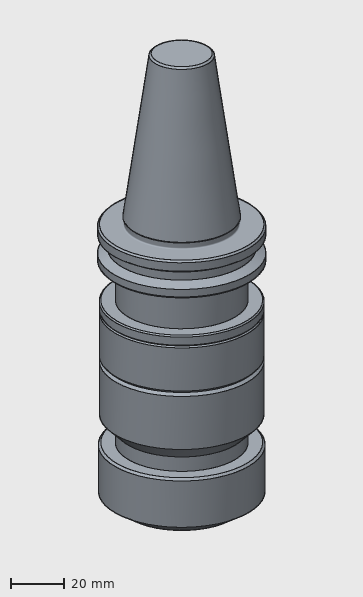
import cadquery as cq
import math


TOTAL_HEIGHT = 188.4
GAUGE_HEIGHT = 120.0
FLANGE_TOP = 116.8
FLANGE_BOTTOM = 101.0
BODY_TOP = 85.2
BODY_CONE_TOP = 37.5
NUT_TOP = 25.5

GAUGE_RADIUS = 22.2
RELIEF_RADIUS = 21.7
FLANGE_RADIUS = 63.5 / 2
FLANGE_GROOVE_RADIUS = 28.0
NECK_RADIUS = 25.0
BODY_RADIUS = 31.0
NUT_RADIUS = 31.5
NUT_TIP_RADIUS = 23.7

TAPER_RATIO = 7 / 24
SHANK_CHAMFER = 0.8
RELIEF_STEP_HEIGHT = 0.5
RELIEF_FILLET = 0.5

FLANGE_TOP_CHAMFER = 0.8
FLANGE_BOTTOM_CHAMFER = 0.8
FLANGE_GROOVE_CENTRE = 108.7
FLANGE_GROOVE_FLOOR = 3.4
FLANGE_GROOVE_FLANK = 30.0
NECK_FILLET = 1.1

BODY_CHAMFER = 0.5
BODY_CONE_ANGLE = 45.0
BODY_GROOVES = [(80.6, 0.5), (60.9, 1.1)]

NUT_TOP_CHAMFER = 1.0
NUT_CONE_HEIGHT = 5.0

EDGE_MARGIN = 0.2


def cylinder(radius, bottom, top):
    """Upright cylinder on the Z axis between two heights."""
    return cq.Workplane("XY").workplane(offset=bottom).circle(radius).extrude(top - bottom)


def revolved(points):
    """Solid of revolution about Z from (radius, height) points."""
    return cq.Workplane("XZ").polyline(points).close().revolve(360, (0, 0), (0, 1))


def ring_groove(outer_radius, depth, centre, floor_width, flank_rise):
    """Cutter for a groove with sloped flanks; flank_rise is the flank height from floor to outer_radius."""
    floor_radius = outer_radius - depth
    clear_radius = outer_radius + depth
    half_floor = floor_width / 2
    half_mouth = half_floor + 2 * flank_rise
    points = [(clear_radius, centre - half_mouth), (clear_radius, centre + half_mouth)]
    points.append((floor_radius, centre + half_floor))
    if floor_width > 0:
        points.append((floor_radius, centre - half_floor))
    return revolved(points)


def fillet_ring(solid, radius, height, fillet_radius):
    """Fillet the circular corner of the given radius at the given height."""
    reach = radius + EDGE_MARGIN
    ring = cq.selectors.BoxSelector(
        (-reach, -reach, height - EDGE_MARGIN),
        (reach, reach, height + EDGE_MARGIN),
        boundingbox=True,
    )
    return solid.edges(ring).fillet(fillet_radius)


def make_shank():
    """Taper with a chamfered small end and a short relief where it meets the flange."""
    tip_radius = GAUGE_RADIUS - (TOTAL_HEIGHT - GAUGE_HEIGHT) * TAPER_RATIO / 2
    relief_top = GAUGE_HEIGHT - RELIEF_STEP_HEIGHT
    taper = revolved([
        (0, FLANGE_TOP),
        (RELIEF_RADIUS, FLANGE_TOP),
        (RELIEF_RADIUS, relief_top),
        (GAUGE_RADIUS, GAUGE_HEIGHT),
        (tip_radius, TOTAL_HEIGHT),
        (0, TOTAL_HEIGHT),
    ])
    return taper.faces(">Z").edges().chamfer(SHANK_CHAMFER)


def make_flange():
    """Chamfered disc with a trapezoidal gripper groove."""
    flange = cylinder(FLANGE_RADIUS, FLANGE_BOTTOM, FLANGE_TOP)
    flange = flange.faces(">Z").edges().chamfer(FLANGE_TOP_CHAMFER)
    flange = flange.faces("<Z").edges().chamfer(FLANGE_BOTTOM_CHAMFER)
    depth = FLANGE_RADIUS - FLANGE_GROOVE_RADIUS
    flank_rise = depth * math.tan(math.radians(FLANGE_GROOVE_FLANK))
    groove = ring_groove(FLANGE_RADIUS, depth, FLANGE_GROOVE_CENTRE, FLANGE_GROOVE_FLOOR, flank_rise)
    return flange.cut(groove)


def make_body():
    """Large cylinder with two V-grooves, narrowing to the lower neck in a cone."""
    cone_height = (BODY_RADIUS - NECK_RADIUS) / math.tan(math.radians(BODY_CONE_ANGLE))
    body = revolved([
        (0, NUT_TOP),
        (NECK_RADIUS, NUT_TOP),
        (NECK_RADIUS, BODY_CONE_TOP - cone_height),
        (BODY_RADIUS, BODY_CONE_TOP),
        (BODY_RADIUS, BODY_TOP),
        (0, BODY_TOP),
    ])
    body = body.faces(">Z").edges().chamfer(BODY_CHAMFER)
    for centre, depth in BODY_GROOVES:
        body = body.cut(ring_groove(BODY_RADIUS, depth, centre, 0, depth))
    return body


def make_holder():
    """Shank, flange, upper neck and body in one piece, with fillets at the flange faces."""
    upper_neck = cylinder(NECK_RADIUS, BODY_TOP, FLANGE_BOTTOM)
    holder = make_flange().union(make_shank()).union(upper_neck).union(make_body())
    holder = fillet_ring(holder, RELIEF_RADIUS, FLANGE_TOP, RELIEF_FILLET)
    holder = fillet_ring(holder, NECK_RADIUS, FLANGE_BOTTOM, NECK_FILLET)
    return holder


def make_nut():
    """Clamping nut seated against the end of the lower neck, with a conical underside."""
    nut = revolved([
        (0, 0),
        (NUT_TIP_RADIUS, 0),
        (NUT_RADIUS, NUT_CONE_HEIGHT),
        (NUT_RADIUS, NUT_TOP),
        (0, NUT_TOP),
    ])
    return nut.faces(">Z").edges().chamfer(NUT_TOP_CHAMFER)


holder = make_holder()
nut = make_nut()
result = cq.Compound.makeCompound([holder.solids().val(), nut.val()])